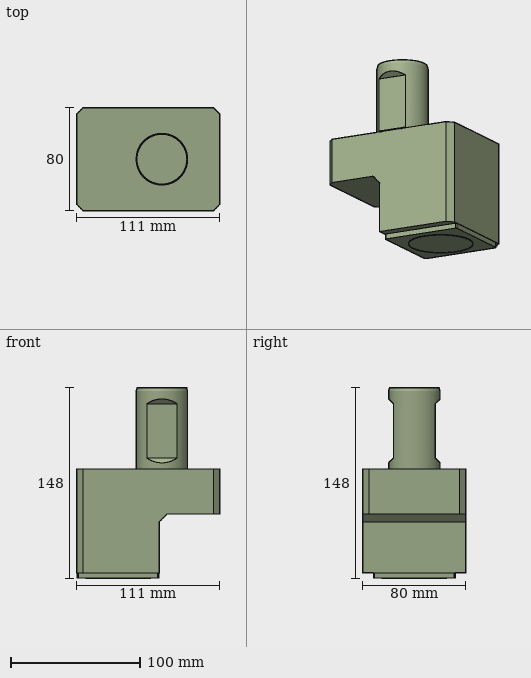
import cadquery as cq
import math


block_length = 111.0
block_width = 80.0
block_height = 80.5
shank_offset = 66.0
head_height = 35.0
column_length = 64.0
corner_chamfer = 5.0
inner_corner_chamfer = 6.0

plate_side = 63.5
plate_thickness = 4.0
plate_corner_chamfer = 1.0
pad_diameter = 50.02
pad_thickness = 0.5

shank_diameter = 40.0
shank_height = 63.0
lead_in_diameter = 38.62
lead_in_angle = math.radians(15)
flat_distance = 32.5
flat_height = 42.0
flat_center_below_top = 33.5

block_left = -shank_offset
block_right = block_left + block_length
column_right = block_left + column_length
column_center = block_left + column_length / 2


def make_block():
    profile = (
        cq.Workplane("XZ")
        .moveTo(block_left, 0)
        .lineTo(block_right, 0)
        .lineTo(block_right, -head_height)
        .lineTo(column_right + inner_corner_chamfer, -head_height)
        .lineTo(column_right, -head_height - inner_corner_chamfer)
        .lineTo(column_right, -block_height)
        .lineTo(block_left, -block_height)
        .close()
        .extrude(block_width / 2, both=True)
    )
    return profile.edges("|Z and (<X or >X)").chamfer(corner_chamfer)


def make_base():
    plate = (
        cq.Workplane("XY", origin=(column_center, 0, -block_height))
        .rect(plate_side, plate_side)
        .extrude(-plate_thickness)
        .edges("|Z")
        .chamfer(plate_corner_chamfer)
    )
    return plate.faces("<Z").workplane().circle(pad_diameter / 2).extrude(pad_thickness)


def make_flat_cutter(side):
    """Notch with a flat floor and 45 degree ends; side is +1 or -1 along Y."""
    floor = flat_distance / 2
    outside = shank_diameter / 2
    depth = outside - floor
    center = shank_height - flat_center_below_top
    floor_half = flat_height / 2
    mouth_half = floor_half + depth
    return (
        cq.Workplane("YZ")
        .moveTo(side * floor, center - floor_half)
        .lineTo(side * floor, center + floor_half)
        .lineTo(side * outside, center + mouth_half)
        .lineTo(side * outside, center - mouth_half)
        .close()
        .extrude(shank_diameter / 2, both=True)
    )


def make_shank():
    lead_in_step = (shank_diameter - lead_in_diameter) / 2
    lead_in_height = lead_in_step / math.tan(lead_in_angle)
    radius = shank_diameter / 2
    shank = (
        cq.Workplane("XZ")
        .lineTo(radius, 0)
        .lineTo(radius, shank_height - lead_in_height)
        .lineTo(lead_in_diameter / 2, shank_height)
        .lineTo(0, shank_height)
        .close()
        .revolve(360, (0, 0, 0), (0, 1, 0))
    )
    for side in (-1, 1):
        shank = shank.cut(make_flat_cutter(side))
    return shank


result = make_block().union(make_base()).union(make_shank())